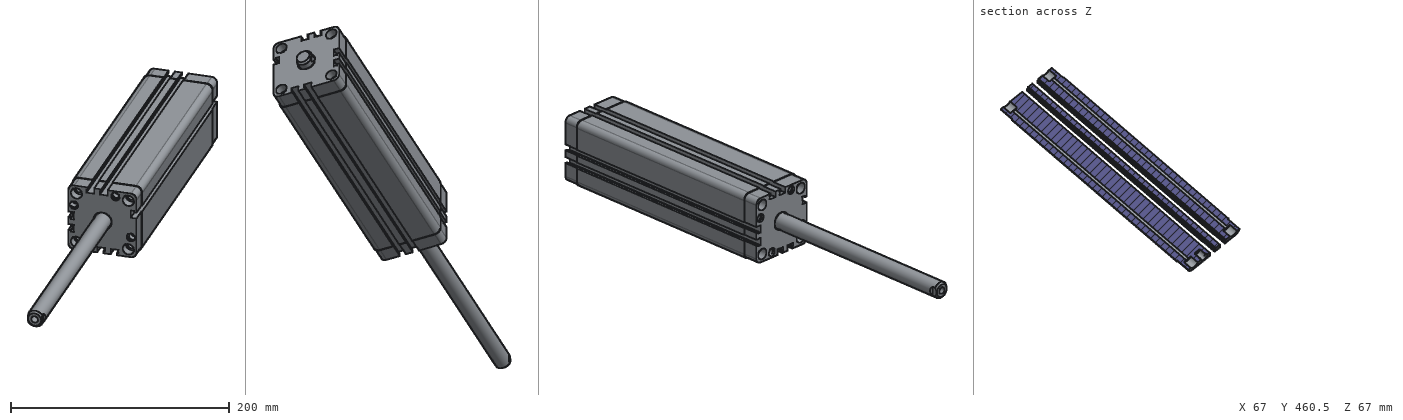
import cadquery as cq
import math

total_length = 460.5
rear_stub_length = 7.5
cap_length = 15.0
barrel_length = 216.0
housing_length = barrel_length + 2 * cap_length
rear_tip_y = housing_length + rear_stub_length
rod_tip_y = rear_tip_y - total_length
middle_y = housing_length / 2

barrel_width = 67.0
cap_width = 65.5
corner_centre = 27.0

slot_mouth_width = 6.0
slot_undercut = 1.5
slot_lip_z = 30.5
slot_floor_z = 27.0
outer_slot_x = -14.0
inner_slot_x = -1.0
turns_with_outer_slot = (0, 1, 2, 3)
turns_with_inner_slot = (0, 1, 2)

fixing_hole_offset = 25.0
fixing_hole_diameter = 7.0
counterbore_diameter = 10.5
counterbore_depth = 9.0

edge_hole_x = 12.5
edge_hole_z = 27.0
edge_hole_mouth_diameter = 8.0
edge_hole_mouth_depth = 2.5
edge_hole_diameter = 6.5
edge_hole_depth = 9.0
edge_hole_shift = 1.0

rod_diameter = 16.0
rod_chamfer = 2.0
rod_recess_diameter = 17.5
rod_recess_depth = 1.5
flat_width = 13.5
flat_length = 5.0
flat_runout = 2.5
bore_diameter = 6.5
bore_depth = 18.5
bore_tip_angle = 118.0


def cylinder(diameter, start_y, end_y, x=0.0, z=0.0):
    """Round bar parallel to Y between two Y positions."""
    base = cq.Workplane("XZ", origin=(x, start_y, z))
    return base.circle(diameter / 2).extrude(start_y - end_y)


def rounded_bar(width, start_y, length):
    """Square bar along Y with rounded long edges."""
    bar = cq.Workplane("XY").box(width, length, width)
    bar = bar.edges("|Y").fillet(width / 2 - corner_centre)
    return bar.translate((0, start_y + length / 2, 0))


def turned(shape, quarter_turns):
    """Shape turned about Y by quarter turns; one turn carries the top side to the -X side."""
    return shape.rotate((0, 0, 0), (0, 1, 0), -90 * quarter_turns)


def both_ends(shape, mirror_y):
    """Shape together with its mirror image across the plane y = mirror_y."""
    return shape.union(shape.mirror("XZ", (0, mirror_y, 0)))


def slot(start_x):
    """Full-length slot in the top side, undercut towards -X."""
    end_x = start_x + slot_mouth_width
    undercut_x = start_x - slot_undercut
    top_z = barrel_width / 2
    outline = [
        (start_x, top_z),
        (end_x, top_z),
        (end_x, slot_floor_z),
        (undercut_x, slot_floor_z),
        (undercut_x, slot_lip_z),
        (start_x, slot_lip_z),
    ]
    return cq.Workplane("XZ").polyline(outline).close().extrude(-housing_length)


def fixing_hole(x, z):
    """Through hole with a counterbore at both ends."""
    counterbore = cylinder(counterbore_diameter, 0, counterbore_depth, x, z)
    through_hole = cylinder(fixing_hole_diameter, 0, housing_length, x, z)
    return both_ends(counterbore, middle_y).union(through_hole)


def edge_hole():
    """Stepped blind hole in the front face, next to the top side."""
    mouth = cylinder(edge_hole_mouth_diameter, 0, edge_hole_mouth_depth, edge_hole_x, edge_hole_z)
    deep_z = edge_hole_z + edge_hole_shift
    deep_step = cylinder(edge_hole_diameter, 0, edge_hole_depth, edge_hole_x, deep_z)
    return mouth.union(deep_step)


def housing():
    """Barrel between two slightly smaller end caps, with slots and holes."""
    body = rounded_bar(cap_width, 0, housing_length)
    body = body.union(rounded_bar(barrel_width, cap_length, barrel_length))
    for turn in turns_with_outer_slot:
        body = body.cut(turned(slot(outer_slot_x), turn))
    for turn in turns_with_inner_slot:
        body = body.cut(turned(slot(inner_slot_x), turn))
    for x in (-fixing_hole_offset, fixing_hole_offset):
        for z in (-fixing_hole_offset, fixing_hole_offset):
            body = body.cut(fixing_hole(x, z))
    for turn in range(4):
        body = body.cut(turned(edge_hole(), turn))
    recess = cylinder(rod_recess_diameter, 0, rod_recess_depth)
    return body.cut(both_ends(recess, middle_y))


def wrench_flats():
    """Material removed at the rod tip to leave two flats with sloping run-outs."""
    flat_x = flat_width / 2
    surface_x = rod_diameter / 2
    flat_end_y = rod_tip_y + flat_length
    outline = [
        (flat_x, rod_tip_y),
        (flat_x, flat_end_y),
        (surface_x, flat_end_y + flat_runout),
        (surface_x, rod_tip_y),
    ]
    flat = cq.Workplane("XY").polyline(outline).close().extrude(rod_diameter, both=True)
    return flat.union(flat.mirror("YZ"))


def tip_bore():
    """Blind bore in the rod tip with a conical bottom."""
    radius = bore_diameter / 2
    bottom_y = rod_tip_y + bore_depth
    point_y = bottom_y + radius / math.tan(math.radians(bore_tip_angle / 2))
    profile = [(0, rod_tip_y), (radius, rod_tip_y), (radius, bottom_y), (0, point_y)]
    return cq.Workplane("XY").polyline(profile).close().revolve(360, (0, 0, 0), (0, 1, 0))


def piston_rod():
    """Through rod with chamfers and wrench flats at both ends and a bore at the front tip."""
    rod = cylinder(rod_diameter, rod_tip_y, rear_tip_y)
    rod = rod.faces("<Y or >Y").chamfer(rod_chamfer)
    rod = rod.cut(both_ends(wrench_flats(), (rod_tip_y + rear_tip_y) / 2))
    return rod.cut(tip_bore())


result = housing().union(piston_rod())